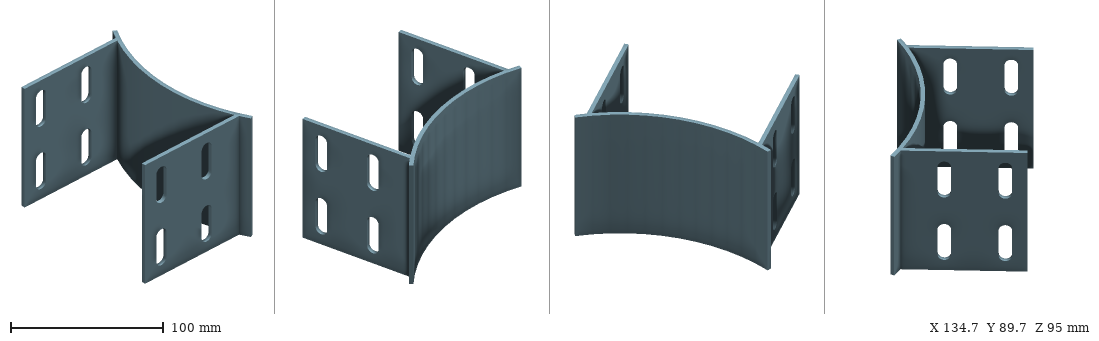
import cadquery as cq
import math

height = 95.0
depth = 89.7
thickness = 3.0

outer_radius = 134.7
inner_radius = outer_radius - thickness
half_angle = math.radians(30)

plate_span = 120.2

slot_length = 28.7
slot_width = 8.9
slot_pitch_y = 40.0
slot_pitch_z = 50.0
slot_edge_distance = 14.5

saddle_tip_y = -inner_radius * math.cos(half_angle)
plate_free_y = saddle_tip_y - depth


def on_arc(radius, angle):
    """Point on a saddle arc, at an angle measured from the -Y direction."""
    return (radius * math.sin(angle), -radius * math.cos(angle))


def make_saddle():
    return (
        cq.Workplane("XY")
        .moveTo(*on_arc(outer_radius, -half_angle))
        .threePointArc(on_arc(outer_radius, 0), on_arc(outer_radius, half_angle))
        .lineTo(*on_arc(inner_radius, half_angle))
        .threePointArc(on_arc(inner_radius, 0), on_arc(inner_radius, -half_angle))
        .close()
        .extrude(height)
    )


def make_plate(side):
    """Side plate running from its free edge to the middle of the saddle wall."""
    center_x = side * (plate_span - thickness) / 2
    mid_radius = outer_radius - thickness / 2
    plate_root_y = -math.sqrt(mid_radius**2 - center_x**2)
    return (
        cq.Workplane("XY")
        .center(center_x, (plate_free_y + plate_root_y) / 2)
        .rect(thickness, plate_root_y - plate_free_y)
        .extrude(height)
    )


def make_slots():
    """Slot cutters, long in Z, reaching across both plates."""
    pattern_center_y = plate_free_y + slot_edge_distance + slot_pitch_y / 2
    return (
        cq.Workplane("YZ")
        .center(pattern_center_y, height / 2)
        .rarray(slot_pitch_y, slot_pitch_z, 2, 2)
        .slot2D(slot_length, slot_width, 90)
        .extrude(plate_span / 2, both=True)
    )


plates = make_plate(-1).union(make_plate(1)).cut(make_slots())
result = make_saddle().union(plates)